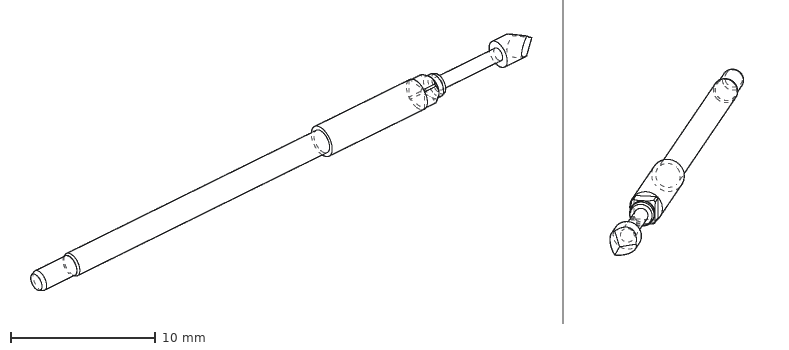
import cadquery as cq
import math

LENGTH = 44.3

stub_top = 3.0
sleeve_bottom = 25.5
sleeve_top = 34.02
square_top = 35.3
collar_top = 35.95
head_bottom = 41.3

stub_diameter = 1.5
barrel_diameter = 1.73
sleeve_diameter = 2.3
plunger_diameter = 0.97
head_diameter = 2.0

stub_chamfer_length = 0.3
stub_chamfer_depth = 0.15
barrel_chamfer_length = 0.18
barrel_chamfer_depth = 0.1
collar_chamfer_length = 0.25
collar_chamfer_depth = 0.1
square_width = 1.7
square_corner_diameter = 2.2
square_top_chamfer = 0.25

facet_count = 3
facet_half_angle = 30.0


def cylinder(diameter, start, end):
    """Solid cylinder along +Y between two stations."""
    disc = cq.Workplane("XZ", origin=(0, start, 0)).circle(diameter / 2)
    return disc.extrude(start - end)


def chamfer_end(body, end, length, depth):
    """Break the edge of one end face of a cylinder: length along the axis, depth along the radius."""
    return body.faces(end).chamfer(length, depth)


def square_neck():
    """Square wrench flats with corners turned to a common circle and chamfered at the top."""
    length = square_top - sleeve_top
    square = cq.Workplane("XZ", origin=(0, sleeve_top, 0)).rect(square_width, square_width)
    envelope = cylinder(square_corner_diameter, sleeve_top, square_top)
    envelope = envelope.faces(">Y").chamfer(square_top_chamfer)
    return square.extrude(-length).intersect(envelope)


def pointed_head():
    """Cylindrical head cut to a three-sided point with one facet facing +X."""
    height = LENGTH - head_bottom
    apothem = height * math.tan(math.radians(facet_half_angle))
    corner_radius = apothem / math.cos(math.pi / facet_count)
    corners = []
    for i in range(facet_count):
        angle = math.pi + i * 2 * math.pi / facet_count
        corners.append((corner_radius * math.cos(angle), corner_radius * math.sin(angle)))
    pyramid = (
        cq.Workplane("XZ", origin=(0, head_bottom, 0))
        .polyline(corners)
        .close()
        .extrude(-height, taper=facet_half_angle)
    )
    return cylinder(head_diameter, head_bottom, LENGTH).intersect(pyramid)


stub = cylinder(stub_diameter, 0, stub_top)
stub = chamfer_end(stub, "<Y", stub_chamfer_length, stub_chamfer_depth)
barrel = cylinder(barrel_diameter, stub_top, sleeve_bottom)
barrel = chamfer_end(barrel, "<Y", barrel_chamfer_length, barrel_chamfer_depth)
sleeve = cylinder(sleeve_diameter, sleeve_bottom, sleeve_top)
collar = cylinder(barrel_diameter, square_top, collar_top)
collar = chamfer_end(collar, ">Y", collar_chamfer_length, collar_chamfer_depth)
plunger = cylinder(plunger_diameter, collar_top, head_bottom)

result = stub
for section in (barrel, sleeve, square_neck(), collar, plunger, pointed_head()):
    result = result.union(section)